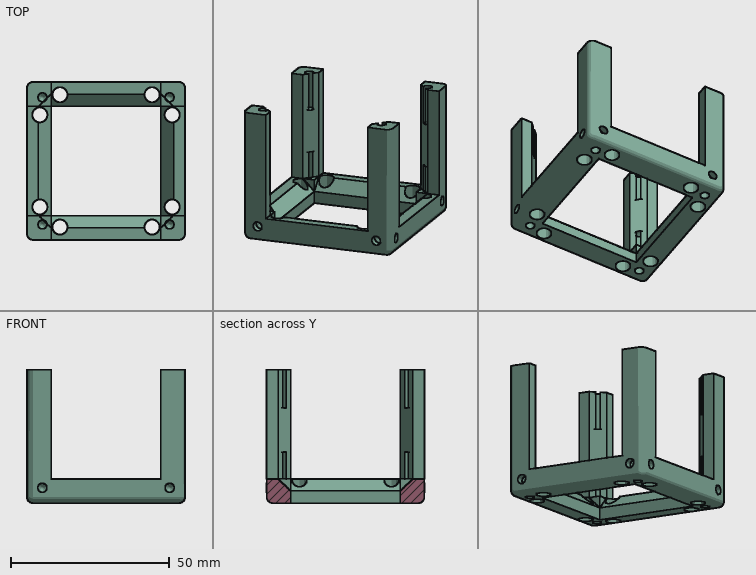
import cadquery as cq
import math

side = 49.8
height = 42.1
bar = 7.7
edge_radius = 2.0
post_bevel_size = 4.0
rail_bevel_drop = 3.85
y_rail_bevel_width = 3.8
x_rail_bevel_width = 4.1

screw_inset = 4.9
post_hole_diameter = 2.8
post_top_depth = 12.0
post_bottom_depth = 16.1
side_hole_diameter = 2.9
side_hole_depth = 2.5
drill_point_angle = 118.0

rail_hole_diameter = 4.7
rail_hole_inset = 4.1
rail_hole_offset = 10.4

half = side / 2
opening = side - 2 * bar


def blind_hole(diameter, depth):
    """Drill body with a conical tip, entering the part from Z = 0 downwards."""
    radius = diameter / 2
    tip = radius / math.tan(math.radians(drill_point_angle / 2))
    profile = [(0, 0), (radius, 0), (radius, -depth), (0, -depth - tip)]
    return cq.Workplane("XZ").polyline(profile).close().revolve(360, (0, 0, 0), (0, 1, 0))


def on_four_sides(body):
    """Copies of a body turned about Z onto all four sides of the frame."""
    copies = cq.Workplane("XY")
    for turn in range(4):
        copies = copies.add(body.rotate((0, 0, 0), (0, 0, 1), 90 * turn))
    return copies.combine()


def rounded_block():
    block = cq.Workplane("XY").box(side, side, height, centered=(True, True, False))
    return block.edges("|Z or <Z").fillet(edge_radius)


def inner_clearance():
    """Square opening down the middle plus the gaps between the posts above the rails."""
    middle = cq.Workplane("XY").rect(opening, opening).extrude(height)
    gaps = cq.Workplane("XY", origin=(0, 0, bar))
    gap_x = gaps.rect(side, opening).extrude(height)
    gap_y = gaps.rect(opening, side).extrude(height)
    return middle.union(gap_x).union(gap_y)


def rail_bevel(width):
    """Bevel on the inner top edge of the front rail, ending at the posts."""
    inner = -half + bar
    corner = [(inner, bar), (inner - width, bar), (inner, bar - rail_bevel_drop)]
    return cq.Workplane("YZ").polyline(corner).close().extrude(opening / 2, both=True)


def rail_bevels():
    """Bevels of all four rails, slightly wider on the left and right ones."""
    bevels = cq.Workplane("XY")
    for turn in range(4):
        width = x_rail_bevel_width if turn % 2 else y_rail_bevel_width
        bevels = bevels.add(rail_bevel(width).rotate((0, 0, 0), (0, 0, 1), 90 * turn))
    return bevels.combine()


def post_bevel():
    """Bevel on the inner vertical edge of one post, above the rails only."""
    inner = -half + bar
    corner = [(inner, inner), (inner - post_bevel_size, inner), (inner, inner - post_bevel_size)]
    return cq.Workplane("XY", origin=(0, 0, bar)).polyline(corner).close().extrude(height - bar)


def post_holes():
    """Screw holes along one post, from its top and from its foot."""
    axis = -half + screw_inset
    top = blind_hole(post_hole_diameter, post_top_depth).translate((axis, axis, height))
    foot = blind_hole(post_hole_diameter, post_bottom_depth).rotate((0, 0, 0), (1, 0, 0), 180)
    return top.union(foot.translate((axis, axis, 0)))


def side_holes():
    """Pair of screw holes in the front face, one at the foot of each post."""
    hole = blind_hole(side_hole_diameter, side_hole_depth).rotate((0, 0, 0), (1, 0, 0), 90)
    axis = half - screw_inset
    left = hole.translate((-axis, -half, screw_inset))
    right = hole.translate((axis, -half, screw_inset))
    return left.union(right)


def rail_holes():
    """Pair of through holes in the front rail."""
    x = half - rail_hole_offset
    y = -half + rail_hole_inset
    return cq.Workplane("XY").pushPoints([(-x, y), (x, y)]).circle(rail_hole_diameter / 2).extrude(bar)


result = rounded_block().cut(inner_clearance()).cut(rail_bevels())
for cutter in (post_bevel(), post_holes(), side_holes(), rail_holes()):
    result = result.cut(on_four_sides(cutter))